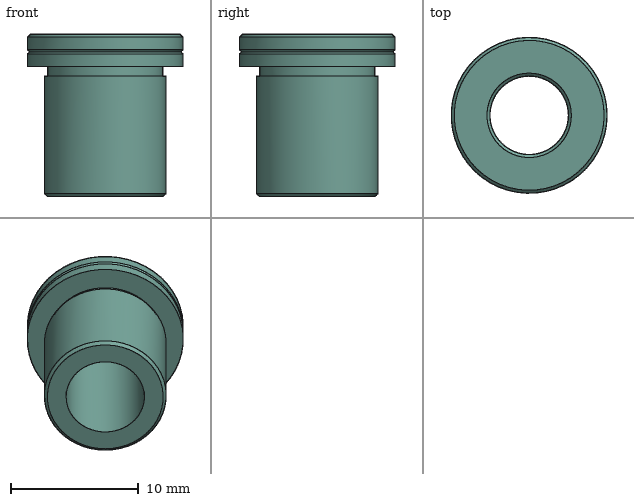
import cadquery as cq

total_height = 12.7
flange_diameter = 12.2
flange_height = 2.54
body_diameter = 9.54
bore_diameter = 6.12
edge_chamfer = 0.24

neck_diameter = 9.02
neck_height = 0.75

groove_width = 0.35
groove_depth = groove_width / 2
groove_center_below_top = 1.38

flange_radius = flange_diameter / 2
body_radius = body_diameter / 2
neck_radius = neck_diameter / 2
bore_radius = bore_diameter / 2
flange_bottom = total_height - flange_height
neck_bottom = flange_bottom - neck_height
groove_center = total_height - groove_center_below_top

profile = (
    cq.Workplane("XZ")
    .moveTo(bore_radius, 0)
    .lineTo(body_radius - edge_chamfer, 0)
    .lineTo(body_radius, edge_chamfer)
    .lineTo(body_radius, neck_bottom)
    .lineTo(neck_radius, neck_bottom)
    .lineTo(neck_radius, flange_bottom)
    .lineTo(flange_radius, flange_bottom)
    .lineTo(flange_radius, groove_center - groove_width / 2)
    .lineTo(flange_radius - groove_depth, groove_center)
    .lineTo(flange_radius, groove_center + groove_width / 2)
    .lineTo(flange_radius, total_height - edge_chamfer)
    .lineTo(flange_radius - edge_chamfer, total_height)
    .lineTo(bore_radius + edge_chamfer, total_height)
    .lineTo(bore_radius, total_height - edge_chamfer)
    .close()
)
result = profile.revolve(360, (0, 0, 0), (0, 1, 0))